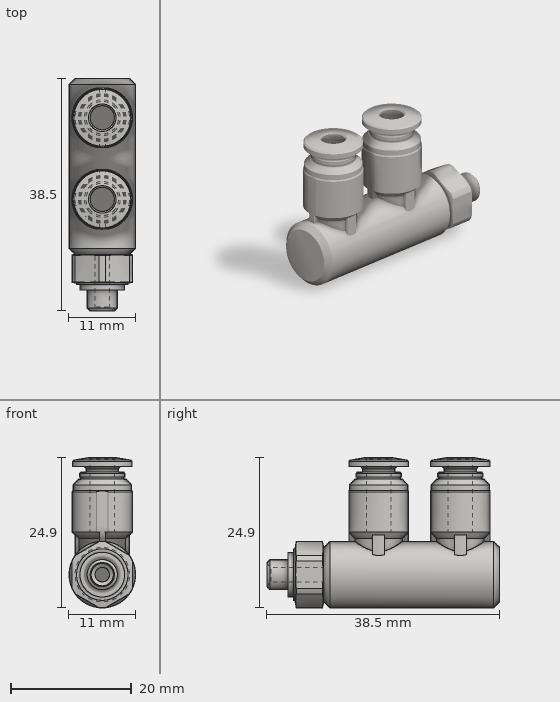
import cadquery as cq
import math


total_length = 38.5
barrel_radius = 11.0 / 2
barrel_chamfer = 1.0
barrel_end_radius = barrel_radius - barrel_chamfer

hex_across_flats = 10.0
hex_front = 4.62
hex_back = 9.4
hex_cone_length = 0.25
washer_radius = 8.5 / 2
washer_front = 4.4
collar_radius = 7.4 / 2
collar_front = 3.45
stub_radius = 5.0 / 2
stub_chamfer = 0.5

bore_radius = 2.4 / 2
bore_countersink = 0.65
bore_depth = hex_back

outlet_positions = (18.48, 32.0)
neck_radius = 3.95
shell_radius = 5.0
shell_bottom = 7.05
shell_bottom_chamfer = shell_radius - neck_radius
shell_top = 13.95
shell_top_chamfer_length = 0.25
shell_flat_distance = 9.8
cap_radius = 9.7 / 2
cap_chamfer_start = 14.85
cap_chamfer = 0.92
cap_top = cap_chamfer_start + cap_chamfer
groove_radius = 3.58
ring_radius = 7.5 / 2
ring_bottom = 16.15
ring_top = 16.95
ring_chamfer = 0.2
sleeve_radius = 5.4 / 2
sleeve_chamfer_start = 17.5
sleeve_chamfer = 0.27
button_radius = 9.9 / 2
button_bottom = 17.85
button_rim = 18.7
button_rim_chamfer = 0.25
button_top = 19.35

tube_hole_radius = 4.0 / 2
tube_hole_chamfer = 0.27
tube_hole_bottom = shell_bottom

side_rib_width = 2.0
side_rib_reach = 4.5
end_rib_width = 1.0


def revolve_about_y(profile):
    """Revolve a (radius, y) outline around the barrel axis."""
    return cq.Workplane("XY").polyline(profile).close().revolve(360, (0, 0, 0), (0, 1, 0))


def revolve_about_z(profile):
    """Revolve a (radius, z) outline around the outlet axis."""
    return cq.Workplane("XZ").polyline(profile).close().revolve(360, (0, 0, 0), (0, 1, 0))


def make_barrel():
    return revolve_about_y([
        (0, hex_back),
        (barrel_end_radius, hex_back),
        (barrel_radius, hex_back + barrel_chamfer),
        (barrel_radius, total_length - barrel_chamfer),
        (barrel_end_radius, total_length),
        (0, total_length),
    ])


def make_hexagon():
    """Hexagon with flats facing +X and -X, turned round with shallow cone faces."""
    hex_length = hex_back - hex_front
    corner_diameter = hex_across_flats / math.cos(math.pi / 6)
    prism = (
        cq.Workplane("XZ", origin=(0, hex_back, 0))
        .transformed(rotate=(0, 0, 30))
        .polygon(6, corner_diameter)
        .extrude(hex_length)
    )
    turned = revolve_about_y([
        (0, hex_front),
        (washer_radius, hex_front),
        (barrel_radius, hex_front + hex_cone_length),
        (barrel_radius, hex_back - hex_cone_length),
        (barrel_end_radius, hex_back),
        (0, hex_back),
    ])
    return prism.intersect(turned)


def make_stub():
    return revolve_about_y([
        (0, 0),
        (stub_radius - stub_chamfer, 0),
        (stub_radius, stub_chamfer),
        (stub_radius, collar_front),
        (collar_radius, collar_front),
        (collar_radius, washer_front),
        (washer_radius, washer_front),
        (washer_radius, hex_front),
        (0, hex_front),
    ])


def make_stub_bore():
    return revolve_about_y([
        (0, 0),
        (bore_radius + bore_countersink, 0),
        (bore_radius, bore_countersink),
        (bore_radius, bore_depth),
        (0, bore_depth),
    ])


def make_outlet_shell():
    """Neck and shell, with a flat on the +Y and -Y sides of the shell."""
    turned = revolve_about_z([
        (0, 0),
        (neck_radius, 0),
        (neck_radius, shell_bottom - shell_bottom_chamfer),
        (shell_radius, shell_bottom),
        (shell_radius, shell_top - shell_top_chamfer_length),
        (cap_radius, shell_top),
        (0, shell_top),
    ])
    slab = cq.Workplane("XY").rect(2 * shell_radius, shell_flat_distance).extrude(shell_top)
    return turned.intersect(slab)


def make_outlet_ribs():
    """Four ribs joining the shell to the barrel: wide ones on X, narrow ones on Y."""
    height = shell_bottom
    side_ribs = (
        cq.Workplane("XY").rect(2 * shell_radius, side_rib_width).extrude(height)
        .intersect(cq.Workplane("XY").circle(side_rib_reach).extrude(height))
        .cut(cq.Workplane("XY", origin=(0, 0, shell_bottom - shell_radius + side_rib_reach))
             .rect(2 * shell_radius, side_rib_width).extrude(height))
    )
    end_ribs = cq.Workplane("XY").rect(end_rib_width, shell_flat_distance).extrude(height)
    return side_ribs.union(end_ribs)


def make_outlet_top():
    """Cap, release ring, sleeve and release button."""
    return revolve_about_z([
        (0, shell_top),
        (cap_radius, shell_top),
        (cap_radius, cap_chamfer_start),
        (cap_radius - cap_chamfer, cap_top),
        (groove_radius, cap_top),
        (groove_radius, ring_bottom),
        (ring_radius, ring_bottom),
        (ring_radius, ring_top - ring_chamfer),
        (ring_radius - ring_chamfer, ring_top),
        (sleeve_radius, ring_top),
        (sleeve_radius, sleeve_chamfer_start),
        (sleeve_radius + sleeve_chamfer, button_bottom),
        (button_radius, button_bottom),
        (button_radius, button_rim),
        (button_radius - button_rim_chamfer, button_rim + button_rim_chamfer),
        (tube_hole_radius + tube_hole_chamfer, button_top),
        (0, button_top),
    ])


def make_tube_hole():
    return revolve_about_z([
        (0, tube_hole_bottom),
        (tube_hole_radius, tube_hole_bottom),
        (tube_hole_radius, button_top - tube_hole_chamfer),
        (tube_hole_radius + tube_hole_chamfer, button_top),
        (0, button_top),
    ])


def make_outlet():
    return (
        make_outlet_shell()
        .union(make_outlet_ribs())
        .union(make_outlet_top())
        .cut(make_tube_hole())
    )


result = make_barrel().union(make_hexagon()).union(make_stub()).cut(make_stub_bore())
outlet = make_outlet()
for position in outlet_positions:
    result = result.union(outlet.translate((0, position, 0)))